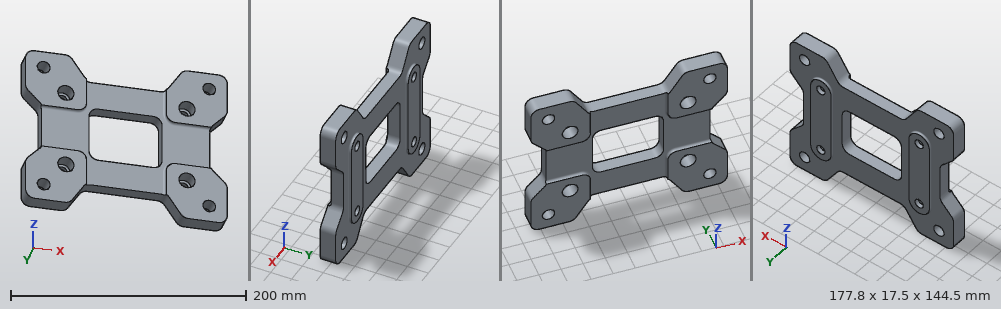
import cadquery as cq

WIDTH = 177.8
HEIGHT = 144.5
PAD_THICKNESS = 15.0
CORNER_RADIUS = 8.0

PAD_INNER_X = 35.0
PAD_INNER_Z = 20.1
WEB_HALF_WIDTH = 74.1
WEB_HALF_HEIGHT = 50.1
PAD_TOP_INNER_X = 50.1
PAD_SIDE_INNER_Z = PAD_INNER_Z + WIDTH / 2 - WEB_HALF_WIDTH
RECESS_DEPTH = 3.0
RECESS_FILLET = 2.0

WINDOW_WIDTH = 64.2
WINDOW_HEIGHT = 50.0

OUTER_HOLE_X = 72.9
OUTER_HOLE_Z = 57.3
OUTER_HOLE_DIAMETER = 11.0
INNER_HOLE_X = 53.3
INNER_HOLE_Z = 35.0
INNER_HOLE_DIAMETER = 8.9
COUNTERBORE_DIAMETER = 14.0
COUNTERBORE_DEPTH = 13.0

RAIL_HEIGHT = 2.5
RAIL_WIDTH = 22.0
RAIL_FILLET = 1.0

TOTAL_DEPTH = PAD_THICKNESS + RAIL_HEIGHT


def plane_at(y):
    """XZ workplane at depth y; its normal is -Y, so negative extrusions run towards +Y."""
    return cq.Workplane("XZ", origin=(0, y, 0))


def four_way(x, z):
    """Mirror a point into all four corners."""
    return [(sx * x, sz * z) for sx in (1, -1) for sz in (1, -1)]


def plate_body():
    quarter = [
        (WEB_HALF_WIDTH, PAD_INNER_Z),
        (WIDTH / 2, PAD_SIDE_INNER_Z),
        (WIDTH / 2, HEIGHT / 2),
        (PAD_TOP_INNER_X, HEIGHT / 2),
        (PAD_INNER_X, WEB_HALF_HEIGHT),
    ]
    upper = quarter + [(-x, z) for x, z in reversed(quarter)]
    lower = [(x, -z) for x, z in reversed(upper)]
    body = plane_at(0).polyline(upper + lower).close().extrude(-PAD_THICKNESS)
    return body.edges("|Y").fillet(CORNER_RADIUS)


def web_recess():
    """Cross-shaped cutter; its rounded floor edge leaves a fillet at the foot of each pad."""
    upright = plane_at(0).rect(2 * PAD_INNER_X, 2 * HEIGHT).extrude(-RECESS_DEPTH)
    crossbar = plane_at(0).rect(2 * WIDTH, 2 * PAD_INNER_Z).extrude(-RECESS_DEPTH)
    inner_corners = cq.selectors.BoxSelector(
        (-WIDTH / 2, -RECESS_DEPTH, -HEIGHT / 2),
        (WIDTH / 2, 2 * RECESS_DEPTH, HEIGHT / 2),
    )
    cross = upright.union(crossbar).edges("|Y").edges(inner_corners).fillet(CORNER_RADIUS)
    return cross.faces(">Y").edges().fillet(RECESS_FILLET)


def window():
    block = plane_at(0).rect(WINDOW_WIDTH, WINDOW_HEIGHT).extrude(-PAD_THICKNESS)
    return block.edges("|Y").fillet(CORNER_RADIUS)


def rails():
    return (
        plane_at(PAD_THICKNESS)
        .pushPoints([(-INNER_HOLE_X, 0), (INNER_HOLE_X, 0)])
        .slot2D(2 * INNER_HOLE_Z + RAIL_WIDTH, RAIL_WIDTH, 90)
        .extrude(-RAIL_HEIGHT)
    )


def fillet_rail_feet(body):
    margin = 2 * RAIL_FILLET
    rails_half_width = INNER_HOLE_X + RAIL_WIDTH / 2 + margin
    rails_half_height = INNER_HOLE_Z + RAIL_WIDTH / 2 + margin
    feet = cq.selectors.BoxSelector(
        (-rails_half_width, PAD_THICKNESS - RAIL_FILLET, -rails_half_height),
        (rails_half_width, PAD_THICKNESS + RAIL_FILLET, rails_half_height),
        boundingbox=True,
    )
    return body.edges(feet).fillet(RAIL_FILLET)


def hole_cutters(points, diameter, depth):
    return plane_at(0).pushPoints(points).circle(diameter / 2).extrude(-depth)


inner_holes = four_way(INNER_HOLE_X, INNER_HOLE_Z)
outer_holes = four_way(OUTER_HOLE_X, OUTER_HOLE_Z)

result = fillet_rail_feet(plate_body().union(rails()))
result = result.cut(web_recess()).cut(window())
result = result.cut(hole_cutters(outer_holes, OUTER_HOLE_DIAMETER, PAD_THICKNESS))
result = result.cut(hole_cutters(inner_holes, INNER_HOLE_DIAMETER, TOTAL_DEPTH))
result = result.cut(hole_cutters(inner_holes, COUNTERBORE_DIAMETER, COUNTERBORE_DEPTH))